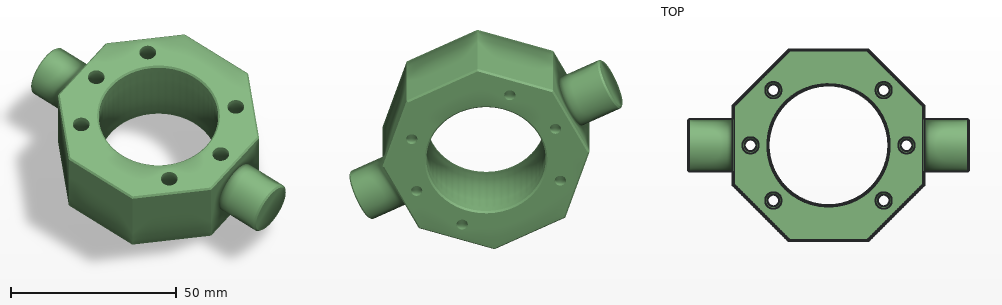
import cadquery as cq
import math

side_count = 8
half_side_angle = 180 / side_count
across_flats = 58.0
body_height = 25.0
body_chamfer = 0.5

bore_diameter = 36.0
bore_chamfer = 0.5

overall_length = 85.0
pin_diameter = 16.0
pin_chamfer = 0.5

bolt_circle_radius = 23.55
screw_diameter = 3.4
clearance_diameter = 5.0
clearance_depth = body_height / 2
drill_point_angle = 118
screw_angles = [0, 45, 135, 180, 225, 315]


def make_body():
    """Regular octagon with flats facing X and Y, chamfered at top and bottom."""
    across_corners = across_flats / math.cos(math.radians(half_side_angle))
    return (
        cq.Workplane("XY")
        .polygon(side_count, across_corners)
        .extrude(body_height / 2, both=True)
        .rotate((0, 0, 0), (0, 0, 1), half_side_angle)
        .faces("|Z")
        .edges()
        .chamfer(body_chamfer)
    )


def make_pins():
    """One round bar along X; its ends form the two pins."""
    return (
        cq.Workplane("YZ")
        .circle(pin_diameter / 2)
        .extrude(overall_length / 2, both=True)
        .faces("|X")
        .edges()
        .chamfer(pin_chamfer)
    )


def make_bore():
    """Through bore that widens into a chamfer at both faces."""
    radius = bore_diameter / 2
    half_height = body_height / 2
    return (
        cq.Workplane("XZ")
        .moveTo(0, -half_height)
        .lineTo(radius + bore_chamfer, -half_height)
        .lineTo(radius, -half_height + bore_chamfer)
        .lineTo(radius, half_height - bore_chamfer)
        .lineTo(radius + bore_chamfer, half_height)
        .lineTo(0, half_height)
        .close()
        .revolve(360, (0, 0, 0), (0, 1, 0))
    )


def make_screw_hole(angle):
    """Stepped hole on the bolt circle, revolved about its own vertical axis."""
    narrow_radius = screw_diameter / 2
    wide_radius = clearance_diameter / 2
    top = body_height / 2
    cone_top = top - clearance_depth
    cone_height = (wide_radius - narrow_radius) / math.tan(math.radians(drill_point_angle / 2))
    return (
        cq.Workplane("XZ")
        .moveTo(0, -top)
        .lineTo(narrow_radius, -top)
        .lineTo(narrow_radius, cone_top - cone_height)
        .lineTo(wide_radius, cone_top)
        .lineTo(wide_radius, top)
        .lineTo(0, top)
        .close()
        .revolve(360, (0, 0, 0), (0, 1, 0))
        .translate((bolt_circle_radius, 0, 0))
        .rotate((0, 0, 0), (0, 0, 1), angle)
    )


result = make_body().union(make_pins()).cut(make_bore())
for screw_angle in screw_angles:
    result = result.cut(make_screw_hole(screw_angle))